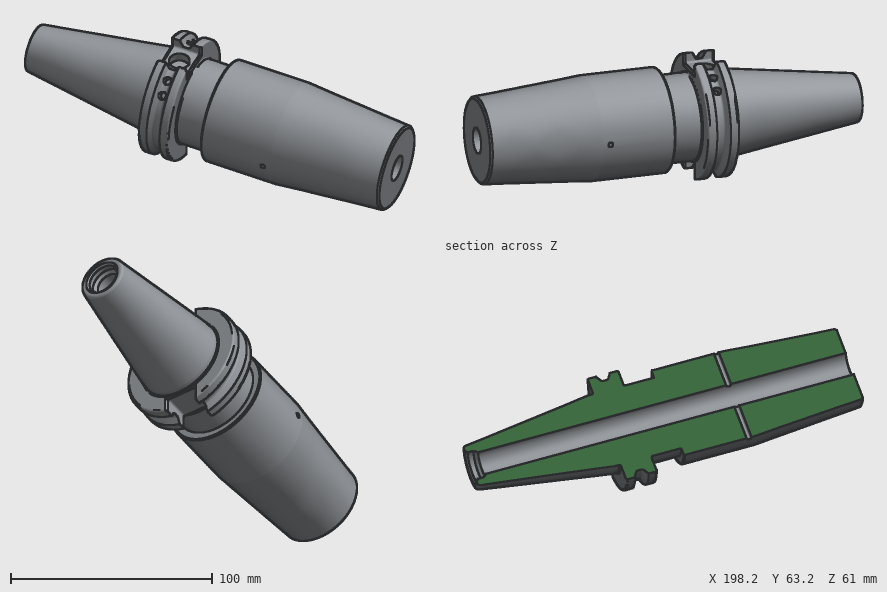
import cadquery as cq
import math


total_length = 198.2
taper_length = 68.4
flange_back = 71.2
flange_front = 87.5
groove_center = 79.3
body_start = 102.9
body_taper_start = 141.0

taper_radius = 22.2
taper_ratio = 3.5 / 24
tail_radius = taper_radius - taper_ratio * taper_length
flange_radius = 63.2 / 2
neck_radius = 22.2
body_radius = 26.5
nose_radius = 22.0

groove_bottom_radius = 28.2
groove_bottom_half_width = 1.5
groove_flank_angle = 30.0
groove_fillet = 1.0

tail_fillet = 1.5
rim_fillet = 1.0
flange_root_fillet = 0.5
body_chamfer = 0.5
nose_chamfer = 1.0

bore_radius = 6.5
pilot_radius = 8.1
mouth_radius = 9.3
pilot_end = 4.2
cone_end = 6.1

slot_width = 16.5
upper_slot_floor = 25.2
lower_slot_floor = 22.5
slot_floor_fillet = 1.2
slot_chamfer = 1.0

recess_diameter = 10.3
recess_depth = 5.0

groove_hole_diameter = 4.0
groove_hole_depth = 4.0
groove_hole_angles = (44.0, 60.0, 120.0, 136.0)

cross_hole_diameter = 2.4
cross_hole_position = 137.0


def turned_blank():
    """Revolved outside: taper, plain flange, neck and tapered body."""
    outline = (
        cq.Workplane("XZ")
        .moveTo(0, 0)
        .lineTo(0, tail_radius)
        .lineTo(taper_length, taper_radius)
        .lineTo(flange_back, taper_radius)
        .lineTo(flange_back, flange_radius)
        .lineTo(flange_front, flange_radius)
        .lineTo(flange_front, neck_radius)
        .lineTo(body_start, neck_radius)
        .lineTo(body_start, body_radius)
        .lineTo(body_taper_start, body_radius)
        .lineTo(total_length, nose_radius)
        .lineTo(total_length, 0)
        .close()
    )
    return outline.revolve(360, (0, 0, 0), (1, 0, 0))


def circles_at(solid, position, radius):
    """Circular edges around the axis at one station and radius."""
    tolerance = 0.02

    def matches(edge):
        on_station = abs(edge.Center().x - position) < tolerance
        return on_station and abs(edge.radius() - radius) < tolerance

    return solid.edges("%CIRCLE").filter(matches)


def finish_edges(solid):
    """Round or chamfer the outer edges of the turned blank."""
    rounded_edges = (
        (0, tail_radius, tail_fillet),
        (flange_back, flange_radius, rim_fillet),
        (flange_front, flange_radius, rim_fillet),
        (flange_back, taper_radius, flange_root_fillet),
        (flange_front, neck_radius, flange_root_fillet),
    )
    for position, radius, fillet in rounded_edges:
        solid = circles_at(solid, position, radius).fillet(fillet)
    solid = circles_at(solid, body_start, body_radius).chamfer(body_chamfer)
    return circles_at(solid, total_length, nose_radius).chamfer(nose_chamfer)


def gripper_groove():
    """V-groove ring with a flat bottom and rounded bottom corners."""
    depth = flange_radius - groove_bottom_radius
    rim_half_width = groove_bottom_half_width + depth * math.tan(math.radians(groove_flank_angle))
    ring = (
        cq.Workplane("XZ")
        .moveTo(groove_center - groove_bottom_half_width, groove_bottom_radius)
        .lineTo(groove_center + groove_bottom_half_width, groove_bottom_radius)
        .lineTo(groove_center + rim_half_width, flange_radius)
        .lineTo(groove_center - rim_half_width, flange_radius)
        .close()
        .revolve(360, (0, 0, 0), (1, 0, 0))
    )
    bottom_corners = ring.edges("%CIRCLE").filter(
        lambda edge: edge.radius() < (groove_bottom_radius + flange_radius) / 2
    )
    return bottom_corners.fillet(groove_fillet)


def groove_holes():
    """Radial holes in the groove bottom, in pairs on the upper half."""
    holes = cq.Workplane("XY")
    for angle in groove_hole_angles:
        direction = cq.Vector(0, math.cos(math.radians(angle)), math.sin(math.radians(angle)))
        inner_end = direction * (groove_bottom_radius - groove_hole_depth) + cq.Vector(groove_center, 0, 0)
        length = flange_radius - groove_bottom_radius + groove_hole_depth
        holes = holes.add(cq.Solid.makeCylinder(groove_hole_diameter / 2, length, inner_end, direction))
    return holes.combine()


def stepped_bore():
    """Through bore with a chamfered mouth and a wider pilot that narrows conically at the tail."""
    return (
        cq.Workplane("XZ")
        .moveTo(0, 0)
        .lineTo(0, mouth_radius)
        .lineTo(mouth_radius - pilot_radius, pilot_radius)
        .lineTo(pilot_end, pilot_radius)
        .lineTo(cone_end, bore_radius)
        .lineTo(total_length, bore_radius)
        .lineTo(total_length, 0)
        .close()
        .revolve(360, (0, 0, 0), (1, 0, 0))
    )


def drive_slot(floor):
    """Slot through the upper side of the flange, chamfered where it meets both faces."""
    flange_width = flange_front - flange_back

    def section(station, margin):
        height = flange_radius - floor + 2 * margin
        return (
            cq.Workplane("YZ", origin=(station, 0, floor - margin + height / 2))
            .rect(slot_width + 2 * margin, height)
        )

    slot = section(flange_back, 0).extrude(flange_width).edges("|X and <Z").fillet(slot_floor_fillet)
    back_flare = section(flange_back, slot_chamfer).extrude(slot_chamfer, taper=45)
    front_flare = section(flange_front, slot_chamfer).extrude(-slot_chamfer, taper=45)
    core = cq.Workplane("YZ", origin=(flange_back, 0, 0)).circle(taper_radius).extrude(flange_width)
    return slot.union(back_flare).union(front_flare).cut(core)


def slot_recess():
    """Blind round recess in the middle of the upper slot floor."""
    return (
        cq.Workplane("XY", origin=((flange_back + flange_front) / 2, 0, upper_slot_floor))
        .circle(recess_diameter / 2)
        .extrude(-recess_depth)
    )


def cross_hole():
    """Hole along Y through both walls of the body."""
    return (
        cq.Workplane("XZ", origin=(cross_hole_position, 0, 0))
        .circle(cross_hole_diameter / 2)
        .extrude(body_radius, both=True)
    )


result = (
    finish_edges(turned_blank())
    .cut(gripper_groove())
    .cut(groove_holes())
    .cut(stepped_bore())
    .cut(drive_slot(upper_slot_floor))
    .cut(drive_slot(lower_slot_floor).rotate((0, 0, 0), (1, 0, 0), 180))
    .cut(slot_recess())
    .cut(cross_hole())
)